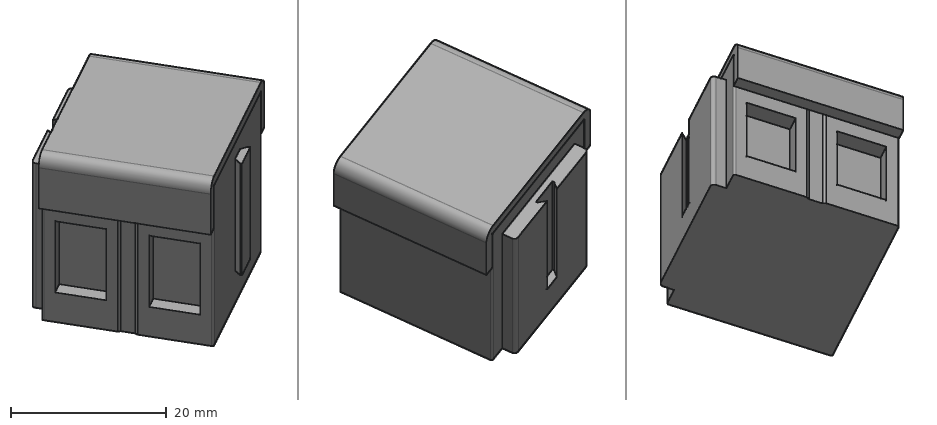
import cadquery as cq

WIDTH = 22.95
DEPTH = 23.03
TOTAL_HEIGHT = 26.2
CORNER_RADIUS = 0.3

COVER_THICKNESS = 1.45
COVER_BOTTOM = 18.18
COVER_RADIUS = 1.7
COVER_INNER_RADIUS = COVER_RADIUS - COVER_THICKNESS
HOUSING_HEIGHT = TOTAL_HEIGHT - COVER_THICKNESS

PAD_THICKNESS = 2.05
PAD_WIDTH = 18.03
PAD_TOP = 22.35
PAD_RADIUS = 0.55

DOVETAIL_NECK = 2.38
DOVETAIL_WIDTH = 4.05
DOVETAIL_FLARE = 0.9
DOVETAIL_LIP = 0.25
DOVETAIL_BOTTOM = 5.1
DOVETAIL_DEPTH = DOVETAIL_FLARE + DOVETAIL_LIP

POCKET_WIDTH = 6.8
POCKET_BOTTOM = 4.58
POCKET_TOP = 15.6
POCKET_DEPTH = 2.0
POCKET_SPACING = 12.55
GROOVE_WIDTH = 2.67
GROOVE_DEPTH = 0.2
GROOVE_SIDE = 0.4


def block(x_min, x_max, y_min, y_max, z_min, z_max):
    """Box between two opposite corners."""
    size = (x_max - x_min, y_max - y_min, z_max - z_min)
    return cq.Workplane("XY").box(*size, centered=False).translate((x_min, y_min, z_min))


def dovetail(mouth_x):
    """Upright dovetail that widens toward +X from its neck at mouth_x."""
    neck = DOVETAIL_NECK / 2
    wide = DOVETAIL_WIDTH / 2
    flare_x = mouth_x + DOVETAIL_FLARE
    end_x = mouth_x + DOVETAIL_DEPTH
    return (
        cq.Workplane("XY", origin=(0, 0, DOVETAIL_BOTTOM))
        .polyline([
            (mouth_x, -neck),
            (flare_x, -wide),
            (end_x, -wide),
            (end_x, wide),
            (flare_x, wide),
            (mouth_x, neck),
        ])
        .close()
        .extrude(PAD_TOP - DOVETAIL_BOTTOM)
    )


def make_core():
    """Main block, with rounded upright corners and rounded front and rear top edges."""
    plain = block(-WIDTH / 2, WIDTH / 2, -DEPTH / 2, DEPTH / 2, 0, HOUSING_HEIGHT)
    rounded_top = plain.edges("|X and >Z").fillet(COVER_INNER_RADIUS)
    rounded_corners = plain.edges("|Z").fillet(CORNER_RADIUS)
    return rounded_top.intersect(rounded_corners)


def make_pad():
    """Side pad with rounded outer upright edges."""
    outer_x = -WIDTH / 2 - PAD_THICKNESS
    pad = block(outer_x, -WIDTH / 2, -PAD_WIDTH / 2, PAD_WIDTH / 2, 0, PAD_TOP)
    return pad.edges("|Z and <X").fillet(PAD_RADIUS).cut(dovetail(outer_x))


def make_groove():
    """Upright groove in the middle of the front face."""
    front_y = -DEPTH / 2
    floor_y = front_y + GROOVE_DEPTH
    half_mouth = GROOVE_WIDTH / 2
    half_floor = half_mouth - GROOVE_SIDE
    return (
        cq.Workplane("XY")
        .polyline([
            (-half_mouth, front_y),
            (half_mouth, front_y),
            (half_floor, floor_y),
            (-half_floor, floor_y),
        ])
        .close()
        .extrude(HOUSING_HEIGHT)
    )


def make_pocket(center_x):
    """Rectangular blind pocket in the front face."""
    half_width = POCKET_WIDTH / 2
    front_y = -DEPTH / 2
    return block(
        center_x - half_width, center_x + half_width,
        front_y, front_y + POCKET_DEPTH,
        POCKET_BOTTOM, POCKET_TOP,
    )


def make_housing():
    """Block with its pad, dovetail rail, groove and pockets."""
    housing = make_core().union(make_pad()).union(dovetail(WIDTH / 2)).cut(make_groove())
    for side in (-1, 1):
        housing = housing.cut(make_pocket(side * POCKET_SPACING / 2))
    return housing


def make_cover():
    """U-shaped cap with rounded top edges, open at both X ends."""
    outer_y = DEPTH / 2 + COVER_THICKNESS
    outer = block(-WIDTH / 2, WIDTH / 2, -outer_y, outer_y, COVER_BOTTOM, TOTAL_HEIGHT)
    inner = block(-WIDTH / 2, WIDTH / 2, -DEPTH / 2, DEPTH / 2, COVER_BOTTOM, HOUSING_HEIGHT)
    outer = outer.edges("|X and >Z").fillet(COVER_RADIUS)
    return outer.cut(inner.edges("|X and >Z").fillet(COVER_INNER_RADIUS))


housing = make_housing()
cover = make_cover()
result = cq.Compound.makeCompound([housing.val(), cover.val()])